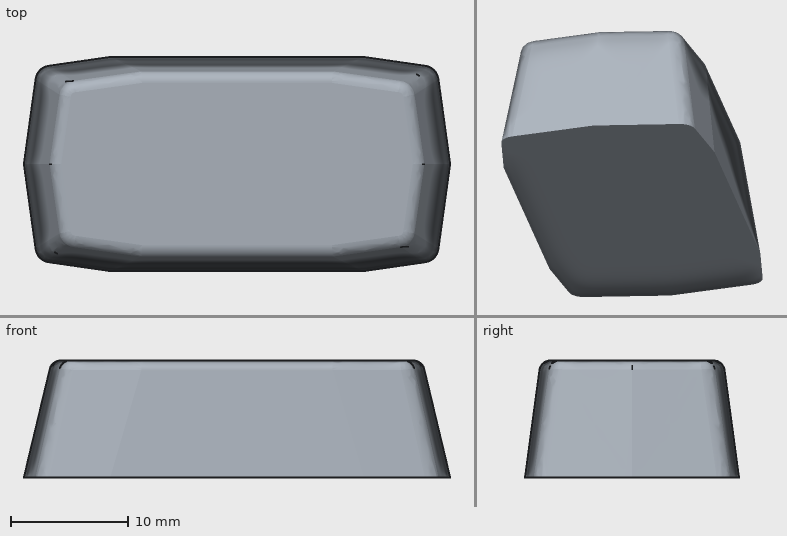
import cadquery as cq

height = 10.0
base_length = 36.32
base_width = 18.25

base_flat_length = 21.6
base_corner_x = 17.02
base_corner_y = 8.23

top_length = 31.54
top_width = 15.56
top_flat_length = 15.8
top_corner_x = 14.8
top_corner_y = 6.81

corner_radius = 1.4
top_edge_radius = 1.0


def ten_sided_outline(length, width, flat_length, corner_x, corner_y):
    """Ten-sided outline, listed counter-clockwise from the +X end point."""
    end_x = length / 2
    flat_x = flat_length / 2
    side_y = width / 2
    return [
        (end_x, 0),
        (corner_x, corner_y),
        (flat_x, side_y),
        (-flat_x, side_y),
        (-corner_x, corner_y),
        (-end_x, 0),
        (-corner_x, -corner_y),
        (-flat_x, -side_y),
        (flat_x, -side_y),
        (corner_x, -corner_y),
    ]


def tapered_body():
    """Straight-sided body between the base and top outlines."""
    base = ten_sided_outline(base_length, base_width, base_flat_length, base_corner_x, base_corner_y)
    top = ten_sided_outline(top_length, top_width, top_flat_length, top_corner_x, top_corner_y)
    return (
        cq.Workplane("XY")
        .polyline(base)
        .close()
        .workplane(offset=height)
        .polyline(top)
        .close()
        .loft(ruled=True)
    )


def round_corners(body):
    """Round the four sloping corner edges."""
    corner_mid_x = (base_corner_x + top_corner_x) / 2
    corner_mid_y = (base_corner_y + top_corner_y) / 2
    corner_points = [
        (side_x * corner_mid_x, side_y * corner_mid_y, height / 2)
        for side_x in (-1, 1)
        for side_y in (-1, 1)
    ]
    edges = cq.Workplane("XY")
    for point in corner_points:
        edges = edges.add(body.edges(cq.selectors.NearestToPointSelector(point)))
    return body.newObject(edges.vals()).fillet(corner_radius)


def round_top_edge(body):
    """Round the whole rim of the top face."""
    return body.faces(">Z").edges().fillet(top_edge_radius)


result = round_top_edge(round_corners(tapered_body()))